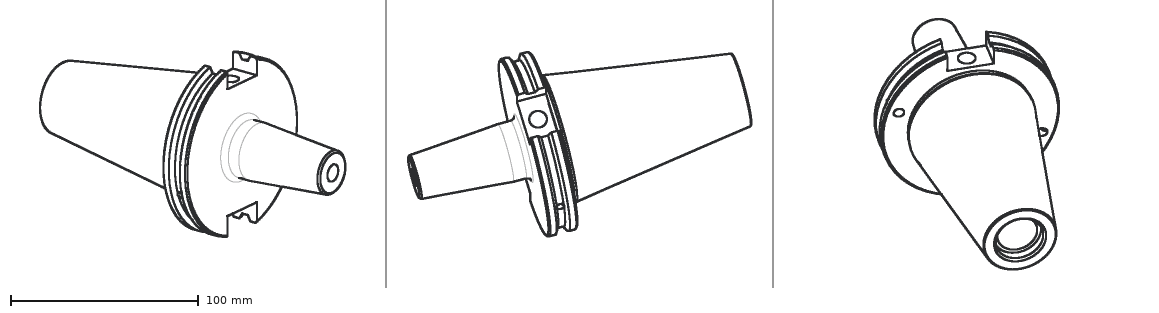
import cadquery as cq
import math

LENGTH = 181.6
TAPER_END = 101.0
NECK_START = 102.2
FLANGE_START = 104.6
FLANGE_END = 120.8
SLEEVE_FILLET = 2.9
SLEEVE_CYLINDER_END = 130.8

TAPER_SMALL_RADIUS = 20.2
TAPER_LARGE_RADIUS = 35.0
NECK_RADIUS = 69.2 / 2
FLANGE_RADIUS = 49.0
GROOVE_RADIUS = 46.0
SLEEVE_RADIUS = 32.0 / 2
TIP_RADIUS = 12.2

TAPER_CHAMFER = 0.5
FLANGE_CHAMFER = 0.9
TIP_CHAMFER = 1.0

FLANGE_CENTRE = (FLANGE_START + FLANGE_END) / 2
GROOVE_FLOOR_WIDTH = 3.8
GROOVE_FLANK_ANGLE = 30.0

MOUTH_DIAMETER = 28.7
COUNTERBORE_DIAMETER = 26.2
PILOT_DIAMETER = 22.0
THROUGH_DIAMETER = 9.5
MOUTH_CHAMFER = (MOUTH_DIAMETER - COUNTERBORE_DIAMETER) / 2
COUNTERBORE_DEPTH = 6.0
PILOT_DEPTH = 45.4
DRILL_POINT_ANGLE = 118.0

NOTCH_WIDTH = 25.6
UPPER_NOTCH_FLOOR = 37.5
LOWER_NOTCH_FLOOR = 35.2

DIMPLE_DIAMETER = 9.5

COOLANT_ANGLES = (20.0, 200.0)
COOLANT_PITCH_RADIUS = 42.0
COOLANT_DIAMETER = 5.0
COOLANT_TILT = 30.0
COOLANT_DEPTH = 6.4
COOLANT_LEAD_IN = 3.6
CROSS_HOLE_DIAMETER = 4.2
CROSS_HOLE_FLOOR = 37.2


def point_length(diameter):
    """Length of the conical point left by a drill."""
    return diameter / 2 / math.tan(math.radians(DRILL_POINT_ANGLE / 2))


def make_body():
    """Taper, neck, flange and sleeve revolved about the X axis."""
    half_floor = GROOVE_FLOOR_WIDTH / 2
    flank = (FLANGE_RADIUS - GROOVE_RADIUS) * math.tan(math.radians(GROOVE_FLANK_ANGLE))
    half_mouth = half_floor + flank
    flange_chamfer_radius = FLANGE_RADIUS - FLANGE_CHAMFER
    profile = (
        cq.Workplane("XY")
        .moveTo(0, 0)
        .lineTo(0, TAPER_SMALL_RADIUS - TAPER_CHAMFER)
        .lineTo(TAPER_CHAMFER, TAPER_SMALL_RADIUS)
        .lineTo(TAPER_END, TAPER_LARGE_RADIUS)
        .lineTo(NECK_START, NECK_RADIUS)
        .lineTo(FLANGE_START, NECK_RADIUS)
        .lineTo(FLANGE_START, flange_chamfer_radius)
        .lineTo(FLANGE_START + FLANGE_CHAMFER, FLANGE_RADIUS)
        .lineTo(FLANGE_CENTRE - half_mouth, FLANGE_RADIUS)
        .lineTo(FLANGE_CENTRE - half_floor, GROOVE_RADIUS)
        .lineTo(FLANGE_CENTRE + half_floor, GROOVE_RADIUS)
        .lineTo(FLANGE_CENTRE + half_mouth, FLANGE_RADIUS)
        .lineTo(FLANGE_END - FLANGE_CHAMFER, FLANGE_RADIUS)
        .lineTo(FLANGE_END, flange_chamfer_radius)
        .lineTo(FLANGE_END, SLEEVE_RADIUS + SLEEVE_FILLET)
        .radiusArc((FLANGE_END + SLEEVE_FILLET, SLEEVE_RADIUS), -SLEEVE_FILLET)
        .lineTo(SLEEVE_CYLINDER_END, SLEEVE_RADIUS)
        .lineTo(LENGTH - TIP_CHAMFER, TIP_RADIUS)
        .lineTo(LENGTH, TIP_RADIUS - TIP_CHAMFER)
        .lineTo(LENGTH, 0)
        .close()
    )
    return profile.revolve(360, (0, 0, 0), (1, 0, 0))


def make_bore():
    """Chamfered counterbore, pilot with a drill point, and through hole."""
    point_end = PILOT_DEPTH + point_length(PILOT_DIAMETER) - point_length(THROUGH_DIAMETER)
    profile = (
        cq.Workplane("XY")
        .moveTo(0, 0)
        .lineTo(0, MOUTH_DIAMETER / 2)
        .lineTo(MOUTH_CHAMFER, COUNTERBORE_DIAMETER / 2)
        .lineTo(COUNTERBORE_DEPTH, COUNTERBORE_DIAMETER / 2)
        .lineTo(COUNTERBORE_DEPTH, PILOT_DIAMETER / 2)
        .lineTo(PILOT_DEPTH, PILOT_DIAMETER / 2)
        .lineTo(point_end, THROUGH_DIAMETER / 2)
        .lineTo(LENGTH, THROUGH_DIAMETER / 2)
        .lineTo(LENGTH, 0)
        .close()
    )
    return profile.revolve(360, (0, 0, 0), (1, 0, 0))


def make_notch(floor, side):
    """Drive notch open to the rim; side is +1 above the axis and -1 below."""
    width = FLANGE_END - FLANGE_START
    height = FLANGE_RADIUS - floor
    centre = (FLANGE_CENTRE, 0, side * (floor + height / 2))
    return cq.Workplane("XY").box(width, NOTCH_WIDTH, height).translate(centre)


def make_dimple():
    """Cone left by a drill point, apex pointing down."""
    radius = DIMPLE_DIAMETER / 2
    tip = UPPER_NOTCH_FLOOR - point_length(DIMPLE_DIAMETER)
    profile = (
        cq.Workplane("XZ")
        .moveTo(0, UPPER_NOTCH_FLOOR)
        .lineTo(radius, UPPER_NOTCH_FLOOR)
        .lineTo(0, tip)
        .close()
    )
    return profile.revolve(360, (0, 0, 0), (0, 1, 0)).translate((FLANGE_CENTRE, 0, 0))


def make_coolant_hole(angle):
    """Oblique bore from the taper side of the flange, met by a cross hole from the groove."""
    oblique = (
        cq.Workplane("YZ", origin=(-COOLANT_LEAD_IN, 0, 0))
        .circle(COOLANT_DIAMETER / 2)
        .extrude(COOLANT_LEAD_IN + COOLANT_DEPTH)
        .rotate((0, 0, 0), (0, 0, 1), COOLANT_TILT)
        .translate((FLANGE_START, COOLANT_PITCH_RADIUS, 0))
    )
    cross = (
        cq.Workplane("XZ", origin=(FLANGE_CENTRE, CROSS_HOLE_FLOOR, 0))
        .circle(CROSS_HOLE_DIAMETER / 2)
        .extrude(CROSS_HOLE_FLOOR - FLANGE_RADIUS)
    )
    return oblique.union(cross).rotate((0, 0, 0), (1, 0, 0), angle)


result = make_body().cut(make_bore())
result = result.cut(make_notch(UPPER_NOTCH_FLOOR, 1))
result = result.cut(make_notch(LOWER_NOTCH_FLOOR, -1))
result = result.cut(make_dimple())
for coolant_angle in COOLANT_ANGLES:
    result = result.cut(make_coolant_hole(coolant_angle))